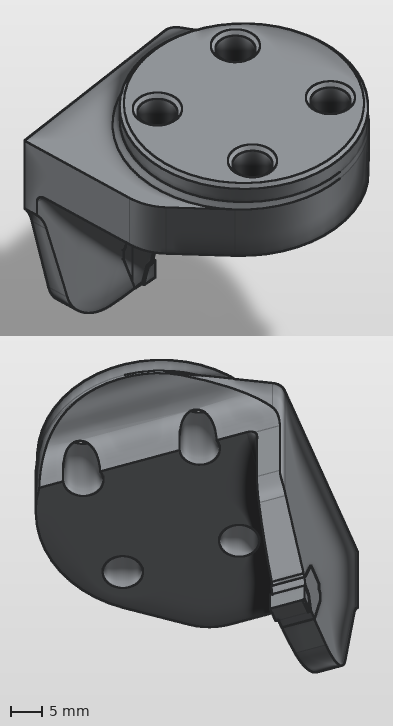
import cadquery as cq
import math

flare_top_z = -3.5
flange_top_z = -4.45
flange_bottom_z = -14.45
blade_bottom_z = -47.35
insert_bottom_z = -48

disc_radius = 40.0 / 2
disc_chamfer = 0.65
hole_diameter = 6.5
countersink_diameter = 7.9
countersink_angle = 90
hole_offset = 9.9

flange_radius = 20.65
flange_center_x = -0.35
flange_center_y = -0.4
front_y = -25.55
left_x = -24.7
bend_y = -24.5
left_back_x = -24.15
back_slope = 26.4
front_slope = 36.7
back_corner_radius = 2.4
front_corner_radius = 10.1

blade_back_y = 10.65
cove_radius = 10.5
cove_center_z = -15.0
back_corner_z = -29.4
back_bend_radius = 7.2
insert_seat_y = 0.4
insert_seat_z = -41.45
blade_end_y = -1.45
toe_y = -17.8
toe_radius = 9.6
shoulder_top_z = -19.05
shoulder_mid_y = -24.45
shoulder_mid_z = -20.85
shoulder_end_y = -23.7
shoulder_end_z = -23.0

inner_face_radius = 84
inner_face_x = -18.85
inner_face_center_y = -2.4
root_fillet = 1.7

insert_left_x = -24.55
insert_right_x = -18.9
insert_edge_width = 0.15
insert_edge_height = 0.6
tip_left_x = -24.4
tip_bevel_width = 0.15
tip_bevel_height = 0.4
tip_right_x = -18.5

margin = 4.8


def circle_point(angle):
    """Point on the flange circle at an angle in degrees."""
    return (
        flange_center_x + flange_radius * math.cos(math.radians(angle)),
        flange_center_y + flange_radius * math.sin(math.radians(angle)),
    )


def extrude_x(outline, x_start, x_end):
    """Extrude a closed YZ outline between two X positions."""
    return outline.extrude(x_end - x_start).translate((x_start, 0, 0))


def make_plan_prism():
    """Full-height prism with straight flange sides tangent to the round."""
    back_tangent = circle_point(90 + back_slope)
    front_tangent = circle_point(front_slope - 90)
    back_run = back_tangent[0] - left_back_x
    back_corner_y = back_tangent[1] - back_run * math.tan(math.radians(back_slope))
    front_rise = front_tangent[1] - front_y
    front_corner_x = front_tangent[0] - front_rise / math.tan(math.radians(front_slope))
    prism = (
        cq.Workplane("XY", origin=(0, 0, insert_bottom_z))
        .moveTo(left_x, front_y)
        .lineTo(front_corner_x, front_y)
        .lineTo(*front_tangent)
        .threePointArc(circle_point(0), back_tangent)
        .lineTo(left_back_x, back_corner_y)
        .lineTo(left_x, bend_y)
        .close()
        .extrude(flange_top_z - insert_bottom_z)
    )
    front_corner = cq.selectors.NearestToPointSelector((front_corner_x, front_y, insert_bottom_z / 2))
    back_corner = cq.selectors.NearestToPointSelector((left_back_x, back_corner_y, insert_bottom_z / 2))
    prism = prism.edges("|Z").edges(front_corner).fillet(front_corner_radius)
    return prism.edges("|Z").edges(back_corner).fillet(back_corner_radius)


def make_side_prism():
    """Side profile with the cove under the flange, the blade and its toe."""
    cove_center_y = blade_back_y + cove_radius
    diagonal = cove_radius * math.sqrt(0.5)
    outline = (
        cq.Workplane("YZ")
        .moveTo(front_y, flange_top_z)
        .lineTo(cove_center_y, flange_top_z)
        .lineTo(cove_center_y, cove_center_z + cove_radius)
        .threePointArc(
            (cove_center_y - diagonal, cove_center_z + diagonal),
            (blade_back_y, cove_center_z),
        )
        .lineTo(blade_back_y, back_corner_z)
        .lineTo(insert_seat_y, insert_seat_z)
        .lineTo(blade_end_y, blade_bottom_z)
        .lineTo(toe_y, blade_bottom_z)
        .lineTo(shoulder_end_y, shoulder_end_z)
        .threePointArc((shoulder_mid_y, shoulder_mid_z), (front_y, shoulder_top_z))
        .close()
    )
    prism = extrude_x(outline, left_x - margin, flange_radius + margin)
    toe = cq.selectors.NearestToPointSelector((0, toe_y, blade_bottom_z))
    back_bend = cq.selectors.NearestToPointSelector((0, blade_back_y, back_corner_z))
    prism = prism.edges("|X").edges(toe).fillet(toe_radius)
    return prism.edges("|X").edges(back_bend).fillet(back_bend_radius)


def make_under_flange_space():
    """Space below the flange and beside the curved inner face of the blade."""
    height = flange_bottom_z - insert_bottom_z + margin
    base_z = insert_bottom_z - margin
    start_x = left_x - margin
    end_x = flange_radius + margin
    low_y = front_y - margin
    high_y = flange_radius + margin
    space = (
        cq.Workplane("XY", origin=(start_x, low_y, base_z))
        .rect(end_x - start_x, high_y - low_y, centered=False)
        .extrude(height)
    )
    inner_face = (
        cq.Workplane("XY", origin=(inner_face_x - inner_face_radius, inner_face_center_y, base_z))
        .circle(inner_face_radius)
        .extrude(height)
    )
    space = space.cut(inner_face)
    root = cq.selectors.NearestToPointSelector((inner_face_x, inner_face_center_y, flange_bottom_z))
    return space.edges(root).fillet(root_fillet)


def make_disc():
    """Chamfered disc on a flare that blends into the eccentric flange."""
    disc = (
        cq.Workplane("XY", origin=(0, 0, flare_top_z))
        .circle(disc_radius)
        .extrude(-flare_top_z)
        .faces(">Z")
        .chamfer(disc_chamfer)
    )
    flare = (
        cq.Workplane("XY", origin=(0, 0, flange_top_z))
        .center(flange_center_x, flange_center_y)
        .circle(flange_radius)
        .workplane(offset=flare_top_z - flange_top_z)
        .center(-flange_center_x, -flange_center_y)
        .circle(disc_radius)
        .loft()
    )
    return disc.union(flare)


def make_insert():
    """Cutting insert through the blade, with a wider cutting tip."""
    body_outline = cq.Workplane("YZ").polyline([
        (-2.95, -35.4),
        (-6.8, -35.4),
        (-6.8, -36.85),
        (-7.4, -37.35),
        (-7.4, -39.25),
        (-4.55, -47.45),
        (-2.85, -47.65),
        (-1.7, -44.6),
        (0.1, -44.35),
        (0.6, -42.85),
        (0.05, -42.05),
        (-1.25, -39.0),
    ]).close()
    body = extrude_x(body_outline, insert_left_x, insert_right_x)
    body = body.faces(">Z").edges("<X").chamfer(insert_edge_height, insert_edge_width)
    tip_outline = cq.Workplane("YZ").polyline([
        (0.1, -44.35),
        (-1.7, -44.6),
        (-2.85, -47.65),
        (0.1, insert_bottom_z),
    ]).close()
    tip = extrude_x(tip_outline, tip_left_x, tip_right_x)
    tip = tip.faces("<Z").edges("<X").chamfer(tip_bevel_height, tip_bevel_width)
    return body.union(tip)


def make_holder(insert):
    """Flange, disc and blade, drilled and recessed for the insert."""
    base = make_plan_prism().intersect(make_side_prism()).cut(make_under_flange_space())
    holder = (
        base.union(make_disc())
        .faces(">Z")
        .workplane(origin=(0, 0, 0))
        .rect(2 * hole_offset, 2 * hole_offset, forConstruction=True)
        .vertices()
        .cskHole(hole_diameter, countersink_diameter, countersink_angle)
    )
    return holder.cut(insert)


insert = make_insert()
holder = make_holder(insert)

result = cq.Compound.makeCompound([holder.solids().val(), insert.solids().val()])